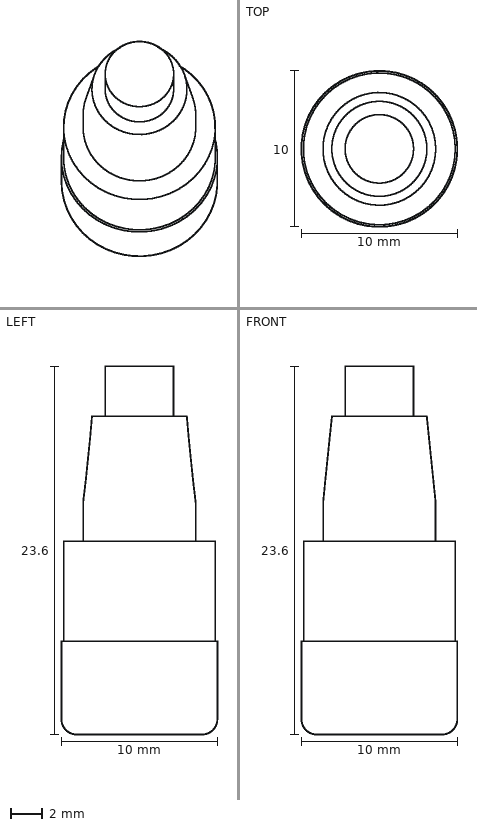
import cadquery as cq

grip_top = 6.0
housing_top = 12.4
collar_top = 14.9
taper_top = 20.4
overall_height = 23.6

grip_radius = 5.0
barrel_radius = 4.85
collar_radius = 3.6
taper_top_radius = 3.05
stem_radius = 2.2

base_rounding = 1.0


def make_housing():
    """Solid round housing: wide grip with a rounded base, then a slightly narrower barrel."""
    grip = cq.Workplane("XY").circle(grip_radius).extrude(grip_top)
    grip = grip.faces("<Z").edges().fillet(base_rounding)
    barrel = (
        cq.Workplane("XY")
        .workplane(offset=grip_top)
        .circle(barrel_radius)
        .extrude(housing_top - grip_top)
    )
    return grip.union(barrel)


def make_spigot():
    """Turned spigot standing on the housing: straight collar, taper and stem."""
    half_profile = (
        cq.Workplane("XZ")
        .moveTo(0, housing_top)
        .lineTo(collar_radius, housing_top)
        .lineTo(collar_radius, collar_top)
        .lineTo(taper_top_radius, taper_top)
        .lineTo(stem_radius, taper_top)
        .lineTo(stem_radius, overall_height)
        .lineTo(0, overall_height)
        .close()
    )
    return half_profile.revolve(360, (0, 0, 0), (0, 1, 0))


housing = make_housing()
spigot = make_spigot()

result = cq.Compound.makeCompound([housing.val(), spigot.val()])